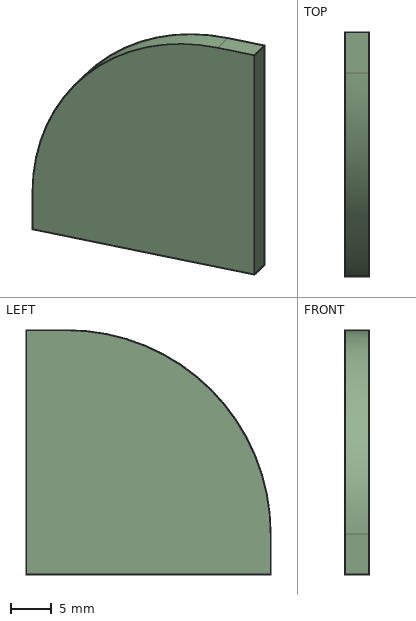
import cadquery as cq

thickness = 3.0
side = 30.0
corner_radius = 25.0


def quarter_round_plate():
    """Square plate in the YZ plane with its -Y, +Z corner rounded off."""
    plate = cq.Workplane("XY").box(thickness, side, side)
    return plate.edges("|X").edges("<Y").edges(">Z").fillet(corner_radius)


result = quarter_round_plate()